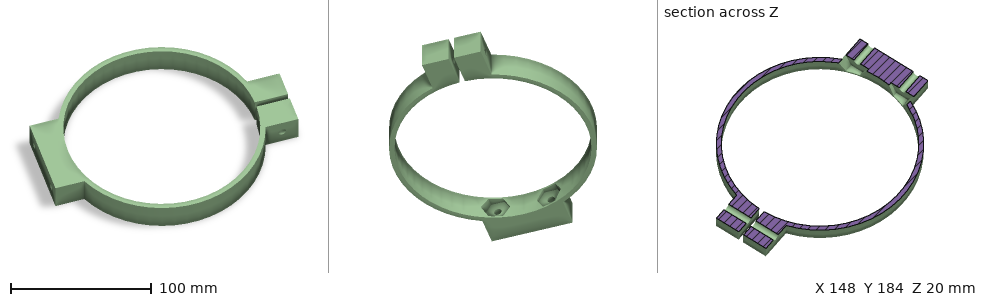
import cadquery as cq

height = 20.0
inner_radius = 70.1
outer_radius = 74.0

ear_end_y = 95.0
ears_width = 44.0
split_gap = 4.0
ear_hole_inset = 12.0

total_length = 184
base_end_y = ear_end_y - total_length
base_width = 60.3
base_hole_spacing = 40.0
nut_corner_diameter = 20.0
nut_floor_y = -71.7

hole_diameter = 5.5


def block(width, y_start, y_end):
    """Full-height block centred on X, between two Y positions."""
    length = y_end - y_start
    return cq.Workplane("XY").center(0, (y_start + y_end) / 2).rect(width, length).extrude(height)


def clamp_body():
    """Ring with its base and ears, bored through and split at the ears."""
    disc = cq.Workplane("XY").circle(outer_radius).extrude(height)
    base = block(base_width, base_end_y, 0)
    ears = block(ears_width, 0, ear_end_y)
    bore = cq.Workplane("XY").circle(inner_radius).extrude(height)
    split = block(split_gap, 0, ear_end_y)
    return disc.union(base).union(ears).cut(bore).cut(split)


def ear_bolt_hole():
    """Hole along X through both ears."""
    return (
        cq.Workplane("YZ")
        .center(ear_end_y - ear_hole_inset, height / 2)
        .circle(hole_diameter / 2)
        .extrude(ears_width / 2, both=True)
    )


def base_mounting_holes():
    """Pair of holes along Y, from the base face into the bore."""
    return (
        cq.Workplane("XZ", origin=(0, base_end_y, height / 2))
        .rarray(base_hole_spacing, 1.8, 2, 1)
        .circle(hole_diameter / 2)
        .extrude(base_end_y)
    )


def base_nut_pockets():
    """Hexagonal pockets, corners along X, sunk into the base from the bore."""
    return (
        cq.Workplane("XZ", origin=(0, nut_floor_y, height / 2))
        .rarray(base_hole_spacing, 1.8, 2, 1)
        .polygon(6, nut_corner_diameter)
        .extrude(nut_floor_y)
    )


result = clamp_body().cut(ear_bolt_hole()).cut(base_mounting_holes()).cut(base_nut_pockets())